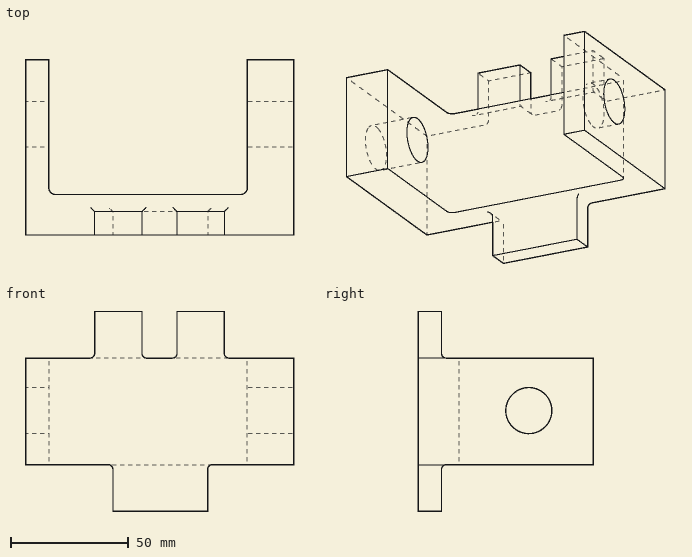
import cadquery as cq

width = 114.0
depth = 74.5
body_height = 45.4
left_arm = 9.9
right_arm = 19.8
web_thickness = 17.3
pocket_radius = 2.7

tab_thickness = 10.0
tab_height = 19.8
top_tab_width = 20.2
top_tab_lefts = (29.3, 64.3)
bottom_tab_width = 40.3
bottom_tab_left = 37.0
root_radius = 1.9

hole_diameter = 19.5
hole_y = 47.1
hole_z = 23.0


def box(x, y, z, length, breadth, height):
    """Box with its minimum corner at (x, y, z)."""
    return cq.Workplane("XY").box(length, breadth, height, centered=False).translate((x, y, z))


def make_channel():
    blank = box(0, 0, 0, width, depth, body_height)
    pocket = box(left_arm, web_thickness, 0, width - left_arm - right_arm, depth - web_thickness, body_height)
    return blank.cut(pocket.edges("|Z and <Y").fillet(pocket_radius))


def make_tab(left, tab_width, root_z):
    """Tab standing on root_z, with concave fillets on its two sides and its back."""
    tab = box(left, 0, root_z, tab_width, tab_thickness, tab_height)
    skirt = box(
        left - root_radius, 0, root_z, tab_width + 2 * root_radius, tab_thickness + root_radius, root_radius
    )
    top_z = root_z + root_radius
    for side_x in (left - root_radius, left + tab_width + root_radius):
        groove = (
            cq.Workplane("XZ", origin=(side_x, 0, top_z))
            .circle(root_radius)
            .extrude(-(tab_thickness + root_radius))
        )
        skirt = skirt.cut(groove)
    back_groove = (
        cq.Workplane("YZ", origin=(left - root_radius, tab_thickness + root_radius, top_z))
        .circle(root_radius)
        .extrude(tab_width + 2 * root_radius)
    )
    return tab.union(skirt.cut(back_groove))


def make_cross_hole():
    return cq.Workplane("YZ", origin=(0, hole_y, hole_z)).circle(hole_diameter / 2).extrude(width)


result = make_channel()
for tab_left in top_tab_lefts:
    result = result.union(make_tab(tab_left, top_tab_width, body_height))
bottom_tab = make_tab(bottom_tab_left, bottom_tab_width, 0).mirror("XY")
result = result.union(bottom_tab).cut(make_cross_hole())